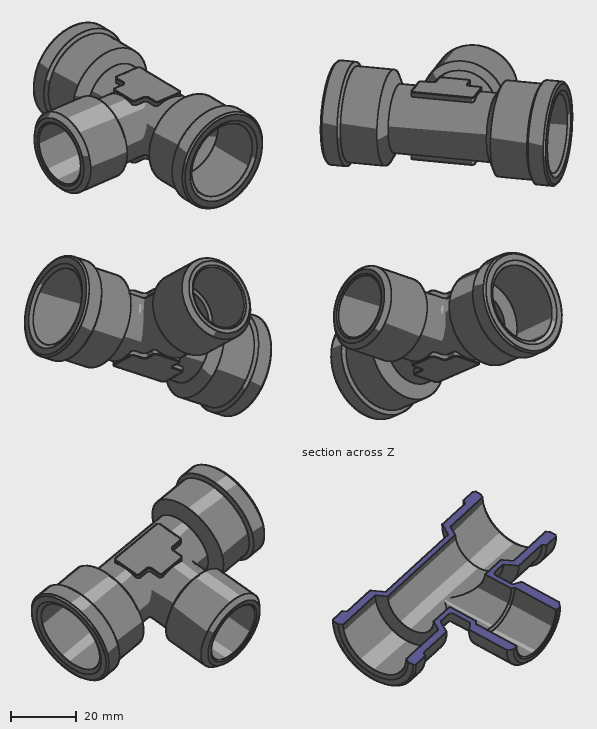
import cadquery as cq
import math

RUN_LENGTH = 71.0
BRANCH_REACH = 35.5
NECK_DIAMETER = 21.2
BORE_DIAMETER = 17.5
SHOULDER_ANGLE = 30.0

COLLAR_DIAMETER = 32.0
COLLAR_LENGTH = 6.1
COLLAR_EDGE_CHAMFER = 0.6
SOCKET_DIAMETER = 29.5
SOCKET_LENGTH = 20.0
SOCKET_BORE_DIAMETER = 24.12
SOCKET_BORE_DEPTH = 16.75
SOCKET_MOUTH_DIAMETER = 26.7
BORE_TAPER_ANGLE = 30.0

MALE_DIAMETER = 26.3
MALE_LENGTH = 17.5
MALE_END_CHAMFER = 1.5
MALE_BORE_DIAMETER = 19.5
MALE_BORE_DEPTH = 16.0
MALE_MOUTH_DIAMETER = 20.6

PAD_LENGTH = 20.0
PAD_WIDTH = 10.0
PAD_STEM_WIDTH = 10.0
PAD_STEM_REACH = 10.0
PAD_HEIGHT = 22.0
PAD_CORNER_RADIUS = 1.0
PAD_EDGE_CHAMFER = 0.2

CROTCH_FILLET_RADIUS = 1.0


def slope_length(large_diameter, small_diameter, angle):
    """Axial length of a cone between two diameters."""
    return (large_diameter - small_diameter) / 2 * math.tan(math.radians(angle))


def turned(profile):
    """Solid of revolution about Z from (diameter, height) points, closed along the axis."""
    outline = [(0, profile[0][1])]
    outline += [(diameter / 2, height) for diameter, height in profile]
    outline.append((0, profile[-1][1]))
    return cq.Workplane("XZ").polyline(outline).close().revolve(360, (0, 0), (0, 1))


def toward_run_end(shape, side):
    """Turn a shape built along +Z so that it points to +X (side 1) or -X (side -1)."""
    return shape.rotate((0, 0, 0), (0, 1, 0), side * 90)


def toward_branch_end(shape):
    """Turn a shape built along +Z so that it points to -Y."""
    return shape.rotate((0, 0, 0), (1, 0, 0), 90)


def necks():
    """Two plain cylinders meeting in a T, with the crotch between them rounded."""
    run = cq.Workplane("YZ").circle(NECK_DIAMETER / 2).extrude(RUN_LENGTH / 2 - COLLAR_LENGTH, both=True)
    branch = cq.Workplane("XZ").circle(NECK_DIAMETER / 2).extrude(BRANCH_REACH - MALE_END_CHAMFER)
    reach = NECK_DIAMETER
    crotch = cq.selectors.BoxSelector((-reach, -reach, -reach), (reach, 0, reach))
    return run.union(branch).edges(crotch).fillet(CROTCH_FILLET_RADIUS)


def socket_body():
    end = RUN_LENGTH / 2
    neck_start = end - SOCKET_LENGTH
    collar_start = end - COLLAR_LENGTH
    return turned([
        (NECK_DIAMETER, neck_start),
        (SOCKET_DIAMETER, neck_start + slope_length(SOCKET_DIAMETER, NECK_DIAMETER, SHOULDER_ANGLE)),
        (SOCKET_DIAMETER, collar_start),
        (COLLAR_DIAMETER, collar_start + slope_length(COLLAR_DIAMETER, SOCKET_DIAMETER, SHOULDER_ANGLE)),
        (COLLAR_DIAMETER, end - COLLAR_EDGE_CHAMFER),
        (COLLAR_DIAMETER - 2 * COLLAR_EDGE_CHAMFER, end),
    ])


def male_body():
    end = BRANCH_REACH
    start = end - MALE_LENGTH
    return turned([
        (NECK_DIAMETER, start),
        (MALE_DIAMETER, start + slope_length(MALE_DIAMETER, NECK_DIAMETER, SHOULDER_ANGLE)),
        (MALE_DIAMETER, end - MALE_END_CHAMFER),
        (MALE_DIAMETER - 2 * MALE_END_CHAMFER, end),
    ])


def stepped_bore(end, bore_diameter, bore_depth, mouth_diameter):
    """Through bore from the crossing, widening to an end bore with a tapered mouth."""
    step = end - bore_depth
    return turned([
        (BORE_DIAMETER, 0),
        (BORE_DIAMETER, step - slope_length(bore_diameter, BORE_DIAMETER, BORE_TAPER_ANGLE)),
        (bore_diameter, step),
        (bore_diameter, end - slope_length(mouth_diameter, bore_diameter, BORE_TAPER_ANGLE)),
        (mouth_diameter, end),
    ])


def pads():
    """T-shaped block through the crossing whose two end faces are the pads."""
    bar = cq.Workplane("XY").box(PAD_LENGTH, PAD_WIDTH, PAD_HEIGHT)
    stem = (
        cq.Workplane("XY")
        .box(PAD_STEM_WIDTH, PAD_STEM_REACH, PAD_HEIGHT)
        .translate((0, -PAD_STEM_REACH / 2, 0))
    )
    block = bar.union(stem).clean().edges("|Z").fillet(PAD_CORNER_RADIUS)
    return block.faces("<Z or >Z").chamfer(PAD_EDGE_CHAMFER)


def outer_body():
    body = necks().union(pads()).union(toward_branch_end(male_body()))
    for side in (1, -1):
        body = body.union(toward_run_end(socket_body(), side))
    return body


def bores():
    """The three bores joined at the crossing."""
    socket_bore = stepped_bore(
        RUN_LENGTH / 2, SOCKET_BORE_DIAMETER, SOCKET_BORE_DEPTH, SOCKET_MOUTH_DIAMETER
    )
    joined = toward_branch_end(
        stepped_bore(BRANCH_REACH, MALE_BORE_DIAMETER, MALE_BORE_DEPTH, MALE_MOUTH_DIAMETER)
    )
    for side in (1, -1):
        joined = joined.union(toward_run_end(socket_bore, side))
    return joined


result = outer_body().cut(bores())